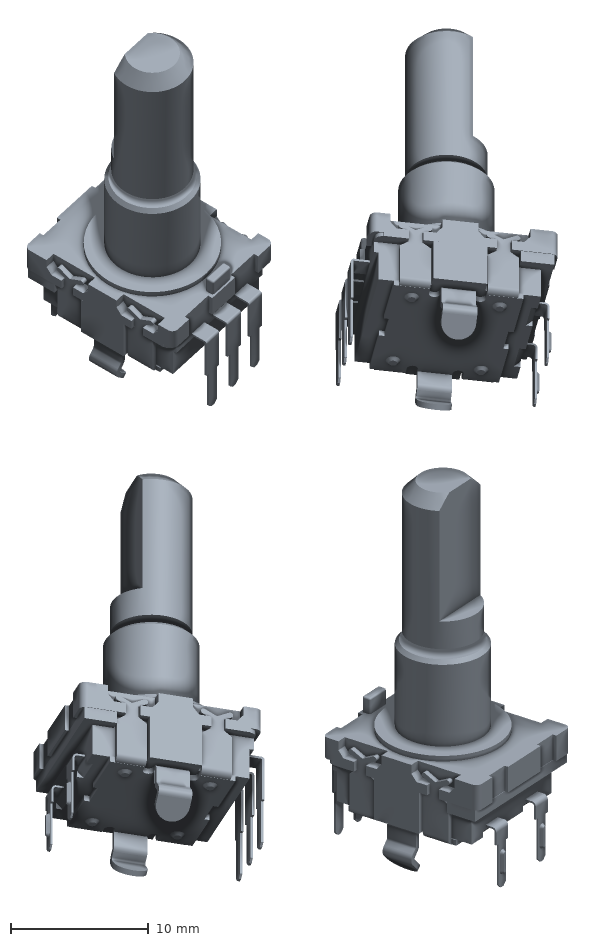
import cadquery as cq
import math


OVERALL_HEIGHT = 30.1
PIN_TIP_Z = -3.75
BASE_BOTTOM_Z = 0.45
FLANGE_BOTTOM_Z = 2.9
HOUSING_BOTTOM_Z = 3.82
HOUSING_TOP_Z = 5.9
RING_TOP_Z = 6.35
BUSHING_TOP_Z = 13.33
SHAFT_HEAD_Z = 14.05
SHAFT_FLAT_Z = 16.3
SHAFT_TOP_Z = PIN_TIP_Z + OVERALL_HEIGHT

SHAFT_DIAMETER = 6.0
NECK_DIAMETER = 3.0
SHAFT_CHAMFER = 1.0
SHAFT_FLAT_X = -1.5

HOUSING_LEFT_X = -7.25
HOUSING_RIGHT_X = 6.62
HOUSING_WIDTH = 11.7
HOUSING_CORNER_RADIUS = 0.5
RING_DIAMETER = 10.0
BUSHING_DIAMETER = 7.0
BUSHING_CHAMFER = 0.3
SIDE_NOTCH_OUTER_Y = 4.03
LEFT_NOTCH_INNER_Y = 2.05
LEFT_NOTCH_DEPTH = 0.33
RIGHT_NOTCH_INNER_Y = 1.32
RIGHT_NOTCH_DEPTH = 0.4
POCKET_HALF_WIDTH = 1.93
POCKET_FLOOR_HALF_WIDTH = 1.47
POCKET_WALL_HEIGHT = 0.72
POCKET_HEIGHT = 1.25
POCKET_DEPTH = 0.8
NECK_SLOT_WIDTH = 1.08
KEY_LENGTH = 2.1
KEY_LEFT_X = 5.75
KEY_RIGHT_X = 6.47
KEY_TOP_Z = 7.2
KEY_SIDE_RADIUS = 0.18
KEY_TOP_RADIUS = 0.15
STEP_LEFT_X = 5.65
STEP_TOP_Z = 4.15

BASE_LEFT_X = -6.1
BASE_RIGHT_X = 5.9
BASE_WIDTH = 10.05
FLANGE_LEFT_X = -6.95
FLANGE_INNER_X = -4.48
FLANGE_WIDTH = 11.62
LEDGE_RIGHT_X = 6.23
STEP_CORNER_RADIUS = 0.55
CENTRE_PAD_LENGTH = 3.97
PIN_RELIEF_WIDTH = 2.17
PIN_RELIEF_SIZE = 0.48

SHEET = 0.42
LEG_X = 3.25
LEG_OUTER_Y = 5.55
LEG_WIDTH = 2.3
LEG_NECK_WIDTH = 1.02
LEG_SHOULDER_Z = 3.37
LEG_BEND_RADIUS = 0.55
ARM_TIP_X = 1.02
ARM_TIP_Z = 5.18
ARM_WIDTH = 0.42
ARM_ANGLE = 26.0
PLATE_LENGTH = 9.57
PLATE_WIDTH = 10.23
PLATE_NOTCH_WIDTH = 2.08
PLATE_NOTCH_DEPTH = 0.4
SNAP_WIDTH = 2.55
SNAP_SLANT = 45.0
SNAP_OUTER_Y = 5.25
SNAP_STRAIGHT_Z = -1.17
SNAP_ELBOW_REACH = 0.8
SNAP_TIP_DROP = 1.75
SNAP_ELBOW_RADIUS = 0.6
SNAP_ROOT_RADIUS = 0.6
SNAP_BEND_RADIUS = 0.25
SNAP_TIP_RADIUS = 1.25
RELIEF_INNER_Y = 4.2
DIMPLE_Y = 3.88
DIMPLE_RADIUS = 0.55
DIMPLE_TIP_RADIUS = 0.3
DIMPLE_HEIGHT = 0.2

PIN_PITCH = 2.5
PIN_SHOULDER_Z = -0.1
PIN_BLADE_WIDTH = 0.93
PIN_TIP_CHAMFER = 0.3
TERMINAL_WIDTH = 1.47
CENTRE_TERMINAL_WIDTH = 1.6
TERMINAL_SHEET = 0.18
TERMINAL_OUTER_X = 7.62
TERMINAL_TOP_Z = 3.45
TERMINAL_BEND_RADIUS = 0.2
SWITCH_PIN_WIDTH = 1.5
SWITCH_PIN_SHEET = 0.15
SWITCH_PIN_OUTER_X = -7.05
SWITCH_PIN_TOP_Z = 1.32
SWITCH_PIN_BEND_RADIUS = 0.35
RIB_TOP_Z = -0.7
RIB_LENGTH = 2.02
RIB_WIDTH = 0.6
RIB_HEIGHT = 0.25
RIB_TAPER = 35.0


def block(x_range, y_range, z_range):
    """Axis-aligned box given by its limits along each axis."""
    lengths = [high - low for low, high in (x_range, y_range, z_range)]
    corner = (x_range[0], y_range[0], z_range[0])
    return cq.Workplane("XY").box(*lengths, centered=False).translate(corner)


def centred(width):
    """Limits of a width that is centred on zero."""
    return (-width / 2, width / 2)


def disc(diameter, bottom_z, top_z):
    return cq.Workplane("XY", origin=(0, 0, bottom_z)).circle(diameter / 2).extrude(top_z - bottom_z)


def extrude_along_y(profile, y_range):
    """Solid from an XZ outline, filling the given Y limits."""
    plane = cq.Workplane("XZ", origin=(0, y_range[1], 0))
    return plane.polyline(profile).close().extrude(y_range[1] - y_range[0])


def both_sides(front_solid):
    """The solid on the -Y side together with its mirror image on the +Y side."""
    return front_solid.union(front_solid.mirror("XZ"))


def make_shaft():
    head = disc(SHAFT_DIAMETER, SHAFT_HEAD_Z, SHAFT_TOP_Z).faces(">Z").chamfer(SHAFT_CHAMFER)
    flat = block((-SHAFT_DIAMETER, SHAFT_FLAT_X), centred(2 * SHAFT_DIAMETER), (SHAFT_FLAT_Z, SHAFT_TOP_Z))
    neck = disc(NECK_DIAMETER, HOUSING_BOTTOM_Z, SHAFT_HEAD_Z)
    return head.cut(flat).union(neck)


def clamp_head_pocket(centre_x):
    """Front pocket that takes the forked head of a clamp leg, with the slot for its neck."""
    floor_z = HOUSING_TOP_Z - POCKET_HEIGHT
    wall_z = HOUSING_TOP_Z - POCKET_WALL_HEIGHT
    profile = [
        (centre_x - POCKET_HALF_WIDTH, HOUSING_TOP_Z),
        (centre_x - POCKET_HALF_WIDTH, wall_z),
        (centre_x - POCKET_FLOOR_HALF_WIDTH, floor_z),
        (centre_x + POCKET_FLOOR_HALF_WIDTH, floor_z),
        (centre_x + POCKET_HALF_WIDTH, wall_z),
        (centre_x + POCKET_HALF_WIDTH, HOUSING_TOP_Z),
    ]
    front_y = -HOUSING_WIDTH / 2
    depth = (front_y, front_y + POCKET_DEPTH)
    slot = block((-NECK_SLOT_WIDTH / 2, NECK_SLOT_WIDTH / 2), depth, (HOUSING_BOTTOM_Z, HOUSING_TOP_Z))
    return extrude_along_y(profile, depth).union(slot.translate((centre_x, 0, 0)))


def make_housing():
    height = (HOUSING_BOTTOM_Z, HOUSING_TOP_Z)
    body = block((HOUSING_LEFT_X, HOUSING_RIGHT_X), centred(HOUSING_WIDTH), height)
    body = body.edges("|Z").fillet(HOUSING_CORNER_RADIUS)

    left_notch_x = (HOUSING_LEFT_X, HOUSING_LEFT_X + LEFT_NOTCH_DEPTH)
    right_notch_x = (HOUSING_RIGHT_X - RIGHT_NOTCH_DEPTH, HOUSING_RIGHT_X)
    left_notch = block(left_notch_x, (-SIDE_NOTCH_OUTER_Y, -LEFT_NOTCH_INNER_Y), height)
    right_notch = block(right_notch_x, (-SIDE_NOTCH_OUTER_Y, -RIGHT_NOTCH_INNER_Y), height)
    body = body.cut(both_sides(left_notch)).cut(both_sides(right_notch))
    for centre_x in (-LEG_X, LEG_X):
        body = body.cut(both_sides(clamp_head_pocket(centre_x)))

    step_z = (HOUSING_BOTTOM_Z, STEP_TOP_Z)
    body = body.cut(block((STEP_LEFT_X, HOUSING_RIGHT_X), centred(HOUSING_WIDTH), step_z))

    key = block((KEY_LEFT_X, KEY_RIGHT_X), centred(KEY_LENGTH), (HOUSING_TOP_Z, KEY_TOP_Z))
    key = key.edges("|Z").fillet(KEY_SIDE_RADIUS).faces(">Z").edges().fillet(KEY_TOP_RADIUS)

    ring = disc(RING_DIAMETER, HOUSING_TOP_Z, RING_TOP_Z)
    bushing = disc(BUSHING_DIAMETER, HOUSING_TOP_Z, BUSHING_TOP_Z).faces(">Z").chamfer(BUSHING_CHAMFER)
    bore = disc(NECK_DIAMETER, HOUSING_BOTTOM_Z, BUSHING_TOP_Z)
    return body.union(key).union(ring).union(bushing).cut(bore)


def bent_pin(attach_x, outer_x, centre_y, width, top_z, sheet, bend_radius):
    """L-shaped pin: a flat run out of the base, then a shouldered blade pointing down."""
    outward = math.copysign(1, outer_x)
    inner_x = outer_x - outward * sheet
    across = centred(width)
    run = block(sorted((attach_x, outer_x)), across, (top_z - sheet, top_z))
    shoulder = block(sorted((inner_x, outer_x)), across, (PIN_SHOULDER_Z, top_z))
    bend = run.union(shoulder)
    inner_corner = cq.selectors.NearestToPointSelector((inner_x, 0, top_z - sheet))
    bend = bend.edges("|Y").edges(inner_corner).fillet(bend_radius - sheet)
    outer_corner = cq.selectors.NearestToPointSelector((outer_x, 0, top_z))
    bend = bend.edges("|Y").edges(outer_corner).fillet(bend_radius)
    blade = block(sorted((inner_x, outer_x)), centred(PIN_BLADE_WIDTH), (PIN_TIP_Z, PIN_SHOULDER_Z))
    blade = blade.faces("<Z").edges("|X").chamfer(PIN_TIP_CHAMFER)
    return bend.union(blade).translate((0, centre_y, 0))


def make_terminal(centre_y):
    width = TERMINAL_WIDTH if centre_y else CENTRE_TERMINAL_WIDTH
    return bent_pin(
        LEDGE_RIGHT_X,
        TERMINAL_OUTER_X,
        centre_y,
        width,
        TERMINAL_TOP_Z,
        TERMINAL_SHEET,
        TERMINAL_BEND_RADIUS,
    )


def switch_pin(centre_y):
    """Pin on the -X side with a tapered rib pressed out of its blade."""
    pin = bent_pin(
        BASE_LEFT_X,
        SWITCH_PIN_OUTER_X,
        centre_y,
        SWITCH_PIN_WIDTH,
        SWITCH_PIN_TOP_Z,
        SWITCH_PIN_SHEET,
        SWITCH_PIN_BEND_RADIUS,
    )
    rib_plane = cq.Plane(
        origin=(SWITCH_PIN_OUTER_X, centre_y, RIB_TOP_Z - RIB_LENGTH / 2),
        xDir=(0, 0, 1),
        normal=(-1, 0, 0),
    )
    rib = cq.Workplane(rib_plane).slot2D(RIB_LENGTH, RIB_WIDTH).extrude(RIB_HEIGHT, taper=RIB_TAPER)
    return pin.union(rib)


def make_base():
    height = (BASE_BOTTOM_Z, HOUSING_BOTTOM_Z)
    flange_z = (FLANGE_BOTTOM_Z, HOUSING_BOTTOM_Z)
    base = block((BASE_LEFT_X, BASE_RIGHT_X), centred(BASE_WIDTH), height)
    base = base.union(block(centred(CENTRE_PAD_LENGTH), centred(HOUSING_WIDTH), height))
    base = base.union(block((FLANGE_LEFT_X, FLANGE_INNER_X), centred(FLANGE_WIDTH), flange_z))
    base = base.union(block((BASE_RIGHT_X, LEDGE_RIGHT_X), centred(BASE_WIDTH), flange_z))

    step = block((STEP_LEFT_X, LEDGE_RIGHT_X), centred(FLANGE_WIDTH), (HOUSING_BOTTOM_Z, STEP_TOP_Z))
    base = base.union(step.edges("|Z and >X").fillet(STEP_CORNER_RADIUS))

    for centre_y in (-PIN_PITCH, PIN_PITCH):
        relief = extrude_along_y(
            [
                (BASE_LEFT_X, BASE_BOTTOM_Z),
                (BASE_LEFT_X, BASE_BOTTOM_Z + PIN_RELIEF_SIZE),
                (BASE_LEFT_X + PIN_RELIEF_SIZE, BASE_BOTTOM_Z),
            ],
            (centre_y - PIN_RELIEF_WIDTH / 2, centre_y + PIN_RELIEF_WIDTH / 2),
        )
        base = base.cut(relief).union(switch_pin(centre_y))
    return base


def forked_leg(centre_x):
    """Front leg that rises from the plate and ends in two spread arms."""
    thickness = (-LEG_OUTER_Y, -LEG_OUTER_Y + SHEET)
    half_neck = LEG_NECK_WIDTH / 2
    slope = math.tan(math.radians(ARM_ANGLE))
    fork_z = ARM_TIP_Z - ARM_TIP_X * slope
    foot = block(centred(LEG_WIDTH), (-LEG_OUTER_Y, -PLATE_WIDTH / 2 + SHEET), (0, BASE_BOTTOM_Z))
    profile = [
        (-LEG_WIDTH / 2, 0),
        (-LEG_WIDTH / 2, LEG_SHOULDER_Z),
        (-half_neck, HOUSING_BOTTOM_Z),
        (-half_neck, fork_z + half_neck * slope),
        (0, fork_z),
        (half_neck, fork_z + half_neck * slope),
        (half_neck, HOUSING_BOTTOM_Z),
        (LEG_WIDTH / 2, LEG_SHOULDER_Z),
        (LEG_WIDTH / 2, 0),
    ]
    leg = extrude_along_y(profile, thickness).union(foot)
    leg = leg.faces("<Z").edges("<Y").fillet(LEG_BEND_RADIUS)
    arm_run = ARM_TIP_X / math.cos(math.radians(ARM_ANGLE))
    for side in (-1, 1):
        arm = (
            cq.Workplane("XZ", origin=(side * ARM_TIP_X / 2, thickness[1], (ARM_TIP_Z + fork_z) / 2))
            .slot2D(arm_run + ARM_WIDTH, ARM_WIDTH, side * ARM_ANGLE)
            .extrude(SHEET)
        )
        leg = leg.union(arm)
    return leg.translate((centre_x, 0, 0))


def snap_leg():
    """Leg on the +Y side that bends outward to an elbow, then inward to a round tip."""
    root_z = BASE_BOTTOM_Z
    elbow = (SNAP_OUTER_Y + SNAP_ELBOW_REACH, SNAP_STRAIGHT_Z - SNAP_ELBOW_REACH)
    tip = (elbow[0] - SNAP_TIP_DROP, elbow[1] - SNAP_TIP_DROP)
    inner_y = SNAP_OUTER_Y - SHEET
    inner_bend_z = SNAP_STRAIGHT_Z - SHEET * math.tan(math.radians(SNAP_SLANT / 2))
    inner_elbow = (elbow[0] - SHEET * math.sqrt(2), elbow[1])
    inner_tip = (tip[0] - SHEET / math.sqrt(2), tip[1] + SHEET / math.sqrt(2))
    outline = [
        (SNAP_OUTER_Y, root_z),
        (SNAP_OUTER_Y, SNAP_STRAIGHT_Z),
        elbow,
        tip,
        inner_tip,
        inner_elbow,
        (inner_y, inner_bend_z),
        (inner_y, 0),
        (RELIEF_INNER_Y, 0),
        (RELIEF_INNER_Y, root_z),
    ]
    leg = cq.Workplane("YZ").polyline(outline).close().extrude(SNAP_WIDTH / 2, both=True)
    inner_edge = cq.selectors.NearestToPointSelector((0, *inner_elbow))
    leg = leg.edges("|X").edges(inner_edge).fillet(SNAP_ELBOW_RADIUS - SHEET)
    leg = leg.edges("|X").edges(">Y").fillet(SNAP_ELBOW_RADIUS)
    outer_bend = cq.selectors.NearestToPointSelector((0, SNAP_OUTER_Y, SNAP_STRAIGHT_Z))
    inner_bend = cq.selectors.NearestToPointSelector((0, inner_y, inner_bend_z))
    leg = leg.edges("|X").edges(outer_bend).fillet(SNAP_BEND_RADIUS)
    leg = leg.edges("|X").edges(inner_bend).fillet(SNAP_BEND_RADIUS + SHEET)
    leg = leg.faces(">Z").edges(">Y").fillet(SNAP_ROOT_RADIUS)
    across_sheet = cq.selectors.ParallelDirSelector(cq.Vector(0, 1, -1))
    return leg.edges(across_sheet).edges("<Z").fillet(SNAP_TIP_RADIUS)


def make_clamp():
    sheet_z = (0, BASE_BOTTOM_Z)
    plate = block(centred(PLATE_LENGTH), centred(PLATE_WIDTH), sheet_z)
    end_x = PLATE_LENGTH / 2
    for notch_x in ((-end_x, -end_x + PLATE_NOTCH_DEPTH), (end_x - PLATE_NOTCH_DEPTH, end_x)):
        plate = plate.cut(block(notch_x, centred(PLATE_NOTCH_WIDTH), sheet_z))

    relief_left = SNAP_WIDTH / 2
    relief_right = LEG_X - LEG_WIDTH / 2
    relief_radius = (relief_right - relief_left) / 2
    relief = (
        cq.Workplane("XY")
        .moveTo(relief_left, -LEG_OUTER_Y)
        .lineTo(relief_left, -RELIEF_INNER_Y - relief_radius)
        .radiusArc((relief_right, -RELIEF_INNER_Y - relief_radius), relief_radius)
        .lineTo(relief_right, -LEG_OUTER_Y)
        .close()
        .extrude(BASE_BOTTOM_Z)
    )
    reliefs = both_sides(relief.union(relief.mirror("YZ")))
    fold_gap = block(centred(SNAP_WIDTH), (-LEG_OUTER_Y, -RELIEF_INNER_Y), sheet_z)
    clamp = plate.cut(reliefs).cut(both_sides(fold_gap))

    snap = snap_leg()
    clamp = clamp.union(snap).union(snap.mirror("XZ"))

    for centre_x in (-LEG_X, LEG_X):
        clamp = clamp.union(both_sides(forked_leg(centre_x)))
        dimple = (
            cq.Workplane("XY", origin=(centre_x, -DIMPLE_Y, 0))
            .circle(DIMPLE_RADIUS)
            .workplane(offset=-DIMPLE_HEIGHT)
            .circle(DIMPLE_TIP_RADIUS)
            .loft()
        )
        clamp = clamp.union(both_sides(dimple))
    return clamp


shaft = make_shaft().solids()
housing = make_housing().solids()
base = make_base().solids()
clamp = make_clamp().solids()
terminals = [make_terminal(centre_y).solids() for centre_y in (-PIN_PITCH, 0, PIN_PITCH)]

result = cq.Compound.makeCompound(
    [shaft.val(), housing.val(), base.val(), clamp.val(), *[terminal.val() for terminal in terminals]]
)